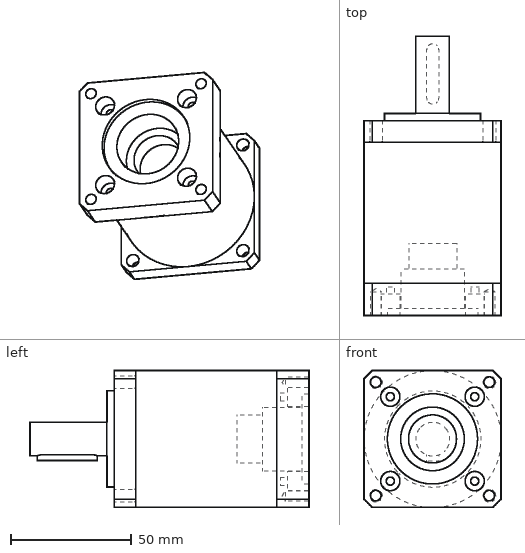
import cadquery as cq
import math

total_length = 116.0
motor_flange_length = 13.5
shaft_length = 32.0
pilot_length = 3.0
output_flange_length = 8.9

flange_side = 57.0
flange_corner_chamfer = 3.5
body_diameter = flange_side
bolt_spacing = 47.1

pilot_diameter = 40.0
shaft_diameter = 14.0
output_hole_diameter = 5.2

key_length = 25.0
key_width = 5.0
key_tip_gap = 3.0
key_reach = 9.0

motor_hole_diameter = 4.4
motor_hole_depth = 10.0
drill_point_angle = 118.0
screw_spacing = 35.0
screw_recess_diameter = 8.0
screw_recess_depth = 9.0
screw_hole_diameter = 3.4
screw_hole_depth = 12.0
motor_pilot_diameter = 37.5
motor_pilot_depth = 3.0
bore_diameter = 26.5
bore_depth = 19.5
inner_bore_diameter = 20.0
inner_bore_depth = 30.0

motor_face = -total_length / 2
shaft_tip = total_length / 2
body_start = motor_face + motor_flange_length
pilot_face = shaft_tip - shaft_length
output_face = pilot_face - pilot_length
body_end = output_face - output_flange_length


def plane_at(y):
    """Plane across the axis whose normal points along +Y."""
    return cq.Workplane(cq.Plane(origin=(0, y, 0), xDir=(1, 0, 0), normal=(0, 1, 0)))


def cylinder(diameter, start, end):
    return plane_at(start).circle(diameter / 2).extrude(end - start)


def corner_cylinders(spacing, diameter, start, end):
    """Four cylinders on the corners of a square."""
    corners = plane_at(start).rect(spacing, spacing, forConstruction=True).vertices()
    return corners.circle(diameter / 2).extrude(end - start)


def flange(start, end):
    block = plane_at(start).rect(flange_side, flange_side).extrude(end - start)
    return block.edges("|Y").chamfer(flange_corner_chamfer)


def output_flange():
    holes = corner_cylinders(bolt_spacing, output_hole_diameter, body_end, output_face)
    return flange(body_end, output_face).cut(holes)


def motor_flange_holes():
    """Blind holes from the motor face, each ending in a drill point."""
    radius = motor_hole_diameter / 2
    tip_depth = motor_hole_depth + radius / math.tan(math.radians(drill_point_angle / 2))
    drill = (
        cq.Workplane("XY")
        .polyline([(0, 0), (radius, 0), (radius, motor_hole_depth), (0, tip_depth)])
        .close()
        .revolve(360, (0, 0), (0, 1))
    )
    offset = bolt_spacing / 2
    holes = cq.Workplane()
    for x in (-offset, offset):
        for z in (-offset, offset):
            holes = holes.add(drill.translate((x, motor_face, z)))
    return holes.combine()


def shaft_key():
    """Round-ended key standing out of the shaft towards -Z."""
    key_centre = shaft_tip - key_tip_gap - key_length / 2
    return (
        cq.Workplane("XY", origin=(0, key_centre, 0))
        .slot2D(key_length, key_width, 90)
        .extrude(-key_reach)
    )


def centre_bore():
    """Stepped blind bore opening at the motor face."""
    pilot_recess = cylinder(motor_pilot_diameter, motor_face, motor_face + motor_pilot_depth)
    bore = cylinder(bore_diameter, motor_face, motor_face + bore_depth)
    inner_bore = cylinder(inner_bore_diameter, motor_face, motor_face + inner_bore_depth)
    return pilot_recess.union(bore).union(inner_bore)


def screw_recesses():
    """Blind recesses for screw heads, each with a smaller hole in its floor."""
    recess_floor = motor_face + screw_recess_depth
    hole_end = motor_face + screw_hole_depth
    recesses = corner_cylinders(screw_spacing, screw_recess_diameter, motor_face, recess_floor)
    holes = corner_cylinders(screw_spacing, screw_hole_diameter, recess_floor, hole_end)
    return recesses.union(holes)


result = (
    flange(motor_face, body_start)
    .union(cylinder(body_diameter, body_start, body_end))
    .union(output_flange())
    .union(cylinder(pilot_diameter, output_face, pilot_face))
    .union(cylinder(shaft_diameter, pilot_face, shaft_tip))
    .union(shaft_key())
    .cut(centre_bore())
    .cut(screw_recesses())
    .cut(motor_flange_holes())
)